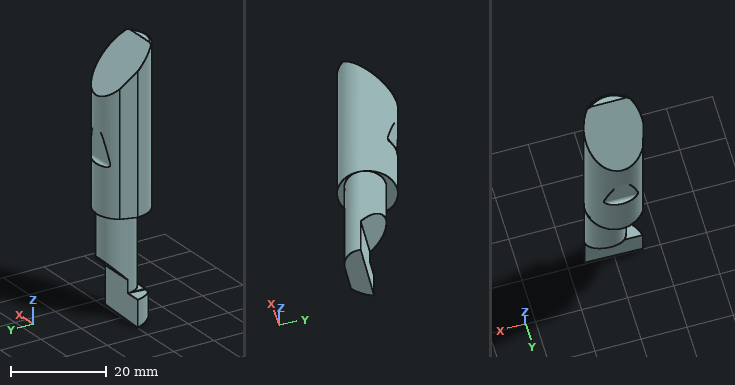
import cadquery as cq
import math

length = 63.5
shank_radius = 6.35
shank_bottom = 25.4

tail_chamfer_width = 0.45
tail_chamfer_height = 0.25
bevel_start_y = -4.5
flat_angle = 36.0
notch_bottom = 36.95
notch_top = 45.9
notch_depth = 1.35
notch_floor_radius = 0.75

neck_radius = 4.4
neck_x = shank_radius - neck_radius
relief_bottom = 9.5
tip_x = -6.2
heel_x = -3.55
nose_mid = (-5.3, -2.35)
head_top = 6.5
tip_top_drop = 0.25
tip_root_x = neck_x - neck_radius
side_clearance_rise = 0.25
end_clearance_rise = 0.5

margin = 3.2
cut_width = 4 * shank_radius


def extrude_along_x(points):
    """Prism across the whole bar from a closed (y, z) outline."""
    return cq.Workplane("YZ").polyline(points).close().extrude(cut_width / 2, both=True)


def make_shank():
    shank = (
        cq.Workplane("XY", origin=(0, 0, shank_bottom))
        .circle(shank_radius)
        .extrude(length - shank_bottom)
        .faces(">Z")
        .chamfer(tail_chamfer_height, tail_chamfer_width)
    )
    return shank.cut(tail_bevel()).cut(side_flat()).cut(clamp_notch())


def tail_bevel():
    """45 degree cut across the tail, falling toward +Y."""
    far_y = shank_radius + margin
    low_z = length - (far_y - bevel_start_y)
    high_y = bevel_start_y - margin
    high_z = length + margin
    return extrude_along_x([(high_y, high_z), (far_y, high_z), (far_y, low_z)])


def side_flat():
    """Flat along the chord that starts at the -X quadrant point."""
    half_angle = math.radians(flat_angle / 2)
    chord_distance = shank_radius * math.cos(half_angle)
    return (
        cq.Workplane("XY")
        .box(margin, cut_width, length + margin, centered=(False, True, False))
        .translate((chord_distance, 0, 0))
        .rotate((0, 0, 0), (0, 0, 1), 180 - flat_angle / 2)
    )


def clamp_notch():
    """Sloping seat on the +Y side, ending at a square ledge with a rounded root."""
    slope = notch_depth / (notch_top - notch_bottom)
    root_y = shank_radius - notch_depth
    outer_y = shank_radius + margin
    outer_z = notch_top + margin / slope
    notch = extrude_along_x([(root_y, notch_bottom), (outer_y, notch_bottom), (outer_y, outer_z)])
    return notch.edges("|X").edges("<Y").fillet(notch_floor_radius)


def make_neck():
    neck = cq.Workplane("XY").center(neck_x, 0).circle(neck_radius).extrude(shank_bottom)
    far_y = neck_radius + margin
    relief = extrude_along_x(
        [(0, -margin), (far_y, -margin), (far_y, relief_bottom + far_y), (0, relief_bottom)]
    )
    return neck.cut(relief)


def make_head():
    head = (
        cq.Workplane("XY")
        .moveTo(tip_x, 0)
        .threePointArc(nose_mid, (heel_x, -neck_radius))
        .lineTo(neck_x, -neck_radius)
        .lineTo(neck_x, 0)
        .close()
        .extrude(head_top)
    )
    far_drop = tip_top_drop / neck_radius * cut_width
    tip_cut = (
        cq.Workplane("YZ", origin=(tip_root_x, 0, 0))
        .polyline([(0, head_top), (-cut_width, head_top), (-cut_width, head_top - far_drop)])
        .close()
        .extrude(-cut_width)
    )
    return head.cut(tip_cut)


def end_clearance():
    """Slanted end cut, lowest at the cutting tip and rising toward +X and -Y."""
    x_slope = end_clearance_rise / (shank_radius - tip_x)
    y_slope = side_clearance_rise / neck_radius
    plane = cq.Plane(origin=(tip_x, 0, 0), xDir=(1, 0, x_slope), normal=(-x_slope, y_slope, 1))
    return cq.Workplane(plane).rect(2 * cut_width, 2 * cut_width).extrude(-margin)


result = make_shank().union(make_neck()).union(make_head()).cut(end_clearance())